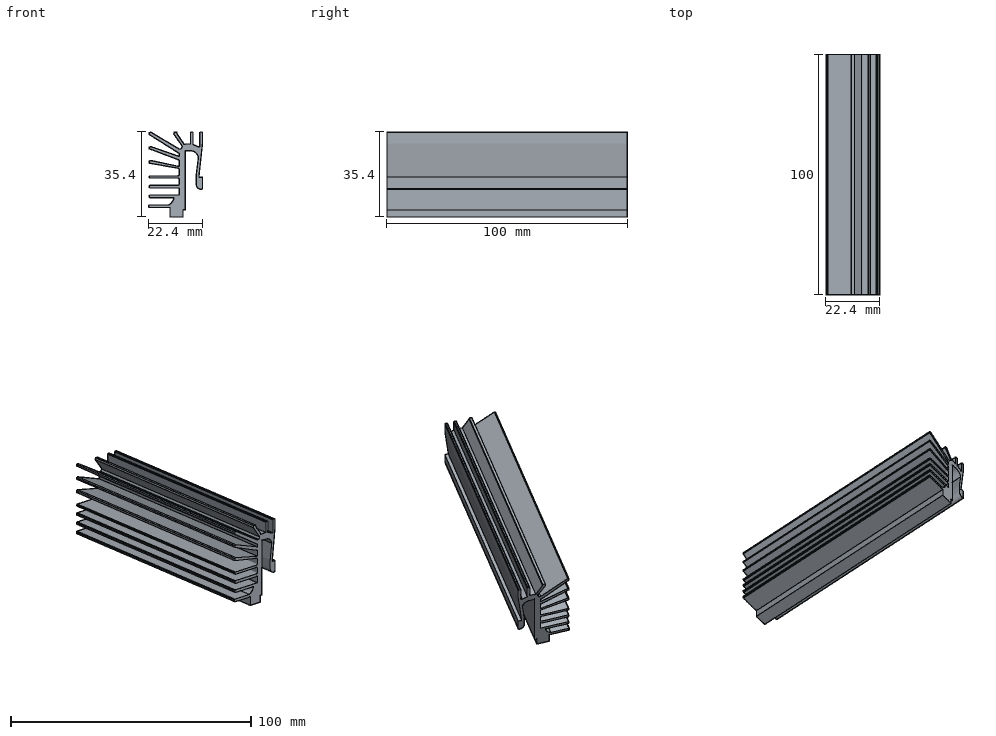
import cadquery as cq

length = 100.0
width = 22.4
height = 35.4

wall_left = 12.6
wall_right = 15.2
foot_left = 8.8
foot_right = 14.3
foot_shoulder = 3.0

fin_thickness = 1.2
top_fin_thickness = 1.0
fin_pitch = 4.1
lowest_fin_bottom = 3.9
level_fin_count = 4
fin_tip = 0.2
tip_chamfer = 0.3
root_radius = 0.4
root_overlap = 0.8

gusset_start = 8.2
gusset_end = 10.5
gusset_sag = 0.3

slot_top = 27.5
bridge_top = 30.5
bridge_shoulder = 28.4
valley_floor = 29.3
slot_corner_run = 2.7
slot_corner_drop = 2.7

arm_inner_top = 20.6
arm_inner_bottom = 19.7
arm_outer_bottom = 20.9
arm_outer_top = 30.6
lip_top = 16.6
lip_bottom = 11.5
lip_straight_top = 17.5
lip_round_start = 13.9
lip_edge_chamfer = 0.3
lip_flat = 0.9

middle_fin_left = 17.3
clip_fin_left = width - fin_thickness


def extrude(outline):
    """Extrude a closed XZ outline along the full length."""
    return outline.close().extrude(-length)


def polygon(points):
    return extrude(cq.Workplane("XZ").polyline(points))


def box(left, right, bottom, top):
    return polygon([(left, bottom), (right, bottom), (right, top), (left, top)])


def level_fin(bottom, tip, thickness):
    top = bottom + thickness
    return polygon([
        (wall_left + root_overlap, bottom),
        (tip + tip_chamfer, bottom),
        (tip, bottom + tip_chamfer),
        (tip, top - tip_chamfer),
        (tip + tip_chamfer, top),
        (wall_left + root_overlap, top),
    ])


def slanted_fin(root_bottom, root_top, tip_bottom, tip_top):
    root_end = wall_left + root_overlap
    return polygon([
        (root_end, root_bottom),
        (wall_left, root_bottom),
        (fin_tip, tip_bottom),
        (fin_tip, tip_top - tip_chamfer),
        (fin_tip + 2 * tip_chamfer, tip_top),
        (wall_left, root_top),
        (root_end, root_top),
    ])


def upright_fin(left):
    right = left + fin_thickness
    return polygon([
        (left, bridge_shoulder),
        (left, height - tip_chamfer),
        (left + tip_chamfer, height),
        (right - tip_chamfer, height),
        (right, height - tip_chamfer),
        (right, arm_outer_top),
        (right - tip_chamfer, bridge_shoulder),
    ])


gusset_bottom = lowest_fin_bottom + fin_thickness
gusset_top = lowest_fin_bottom + fin_pitch
gusset_middle = (
    (gusset_start + gusset_end) / 2 + gusset_sag,
    (gusset_bottom + gusset_top) / 2 - gusset_sag,
)
wall = box(wall_left, wall_right, foot_shoulder, bridge_shoulder)
foot = box(foot_left, foot_right, 0, gusset_bottom)
gusset = extrude(
    cq.Workplane("XZ")
    .moveTo(foot_left, lowest_fin_bottom)
    .lineTo(gusset_start, gusset_bottom)
    .threePointArc(gusset_middle, (gusset_end, gusset_top))
    .lineTo(wall_right, gusset_top)
    .lineTo(wall_right, lowest_fin_bottom)
)

slot_corner_x = arm_inner_top - slot_corner_run / 3
slot_corner_z = slot_top - slot_corner_drop / 3
hook = extrude(
    cq.Workplane("XZ")
    .moveTo(wall_left, slot_top)
    .lineTo(arm_inner_top - slot_corner_run, slot_top)
    .threePointArc((slot_corner_x, slot_corner_z), (arm_inner_top, slot_top - slot_corner_drop))
    .lineTo(arm_inner_bottom, lip_straight_top)
    .lineTo(arm_inner_bottom, lip_round_start)
    .threePointArc((arm_inner_bottom + lip_flat / 2, lip_bottom + lip_flat), (width - lip_flat, lip_bottom))
    .lineTo(width - lip_edge_chamfer, lip_bottom)
    .lineTo(width, lip_bottom + lip_edge_chamfer)
    .lineTo(width, lip_top)
    .lineTo(arm_outer_bottom, lip_top)
    .lineTo(width, arm_outer_top)
    .lineTo(clip_fin_left, valley_floor)
    .lineTo(clip_fin_left - 2 * tip_chamfer, valley_floor)
    .lineTo(middle_fin_left + fin_thickness, bridge_top - tip_chamfer)
    .lineTo(middle_fin_left, bridge_top)
    .lineTo(wall_right + tip_chamfer, bridge_top)
    .lineTo(wall_right - root_overlap, bridge_top - tip_chamfer)
    .lineTo(wall_left + root_overlap, bridge_shoulder)
    .lineTo(wall_left, bridge_shoulder)
)

slanted_fins = [
    (20.2, 21.1, 22.4, 23.6),
    (23.7, 25.3, 28.4, 29.4),
    (26.5, 28.4, 34.3, height),
]

corner_fin = polygon([
    (14.2, 29.0),
    (13.5, 30.1),
    (10.4, 34.5),
    (10.6, 35.3),
    (11.7, 35.3),
    (11.8, 34.7),
    (14.8, 30.2),
    (15.6, 29.6),
])

body = wall.union(foot).union(gusset).union(hook)
for index in range(level_fin_count):
    tip = 0 if index == 0 else fin_tip
    thickness = top_fin_thickness if index == level_fin_count - 1 else fin_thickness
    body = body.union(level_fin(lowest_fin_bottom + index * fin_pitch, tip, thickness))
for fin_heights in slanted_fins:
    body = body.union(slanted_fin(*fin_heights))
body = body.union(corner_fin)
for left in (middle_fin_left, clip_fin_left):
    body = body.union(upright_fin(left))

third_fin_top = lowest_fin_bottom + 2 * fin_pitch + fin_thickness
lowest_slanted_root = slanted_fins[0][0]
root_corners = cq.selectors.BoxSelector(
    (wall_left - root_radius, -length, third_fin_top - root_radius),
    (wall_left + root_radius, length, lowest_slanted_root + root_radius),
)
result = body.edges("|Y").edges(root_corners).fillet(root_radius)